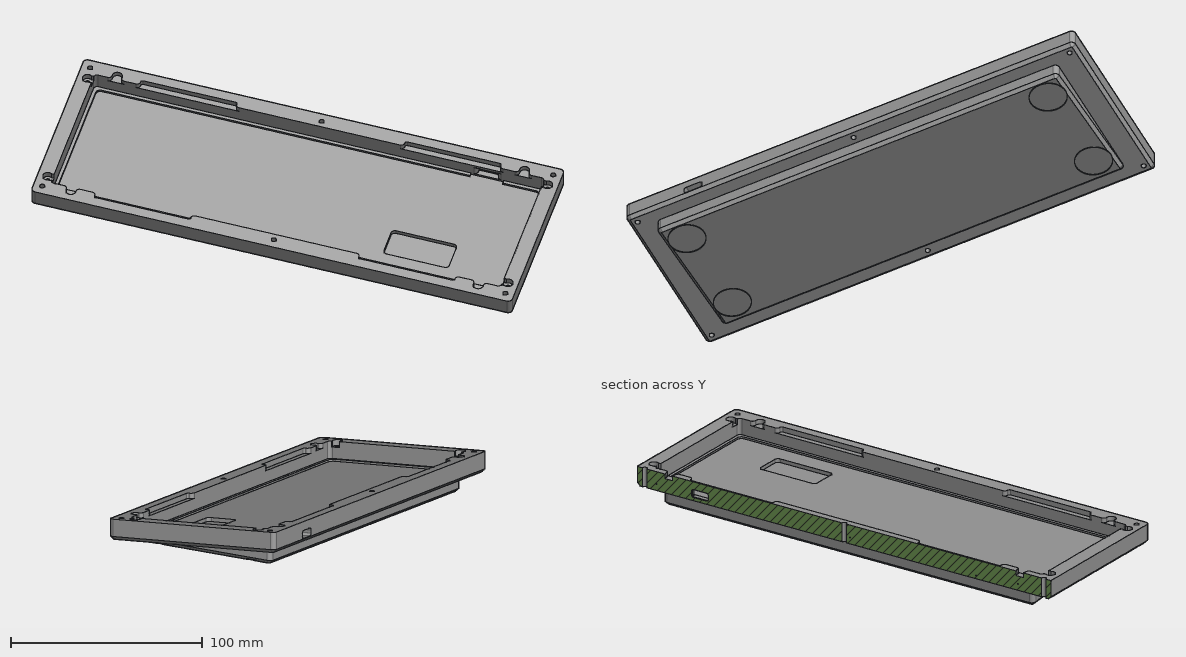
import cadquery as cq
import math

tray_length = 262
tray_width = 95.3
tray_height = 11.0
overall_height = 19.6
corner_radius = 2.4
edge_chamfer = 1.8

foot_chamfer = 1.8
foot_half_length = 117.0
foot_back_y = 39.0
foot_front_y = -39.0
foot_front_depth = 13

pad_diameter = 20.0
pad_recess_depth = 0.5
pad_x = 105.5
pad_front_y = -25.7
pad_back_y = 26.7

cavity_length = 245.5
cavity_width = 78.0
cavity_corner_radius = 1.8
ledge_depth = 9.2
ledge_width = 1.8
floor_depth = 10.2
floor_corner_radius = 2.5

window_x_min = 54.5
window_x_max = 90.0
window_y_min = -26.5
window_y_max = -9.7
window_depth = 2.0
window_corner_radius = 2.0

recess_corner_radius = 1.0
mouth_radius = 1.8

side_pocket_inner_x = 45.8
side_pocket_outer_x = 98.2
side_pocket_reach = 3.1
side_pocket_depth = 3.0

notch_x = 111.0
notch_diameter = 5.2
notch_center_y = 41.5
notch_depth = 2.5

seat_x = 125.5
seat_y = 35.4
seat_diameter = 5.2
seat_depth = 3.1
seat_mouth_width = 4.5
seat_hole_diameter = 2.07
seat_hole_depth = 6.5

rim_hole_diameter = 2.5
rim_hole_x = 126.2
rim_hole_y = 42.7

port_x_min = 86.0
port_x_max = 97
port_reach = side_pocket_reach
port_top_z = -4.5
port_floor_z = -ledge_depth
ledge_gap_length = 17.8
plug_hole_width = 10.5
plug_hole_height = 4.2
plug_hole_corner_radius = 1.3

cavity_edge_y = cavity_width / 2
cavity_edge_x = cavity_length / 2
port_center_x = (port_x_min + port_x_max) / 2
slope = (overall_height - foot_front_depth) / (foot_back_y - foot_chamfer - foot_front_y)
foot_back_depth = overall_height + slope * foot_chamfer
slope_angle = math.degrees(math.atan(slope))


def make_tray():
    block = cq.Workplane("XY").box(tray_length, tray_width, tray_height, centered=(True, True, False))
    block = block.translate((0, 0, -tray_height)).edges("|Z").fillet(corner_radius)
    return block.faces("<Z").edges().chamfer(edge_chamfer)


def make_foot():
    profile = [
        (foot_front_y, -ledge_depth),
        (foot_back_y, -ledge_depth),
        (foot_back_y, -foot_back_depth),
        (foot_front_y, -foot_front_depth),
    ]
    foot = cq.Workplane("YZ").polyline(profile).close().extrude(foot_half_length, both=True)
    foot = foot.edges("|Z").fillet(corner_radius)
    return foot.faces("<Z").edges().chamfer(foot_chamfer)


def sunk_box(length, width, depth, radius):
    box = cq.Workplane("XY").box(length, width, depth, centered=(True, True, False))
    return box.translate((0, 0, -depth)).edges("|Z").fillet(radius)


def wall_recess(x_min, x_max, reach, z_top, z_bottom):
    """Cut into the back wall with rounded inner corners and a rounded flare at its mouth."""
    wall_y = cavity_edge_y
    end_y = wall_y + reach
    outer = recess_corner_radius
    return (
        cq.Workplane("XY")
        .workplane(offset=z_bottom)
        .moveTo(x_min - mouth_radius, wall_y - ledge_width)
        .lineTo(x_min - mouth_radius, wall_y)
        .radiusArc((x_min, wall_y + mouth_radius), -mouth_radius)
        .lineTo(x_min, end_y - outer)
        .radiusArc((x_min + outer, end_y), outer)
        .lineTo(x_max - outer, end_y)
        .radiusArc((x_max, end_y - outer), outer)
        .lineTo(x_max, wall_y + mouth_radius)
        .radiusArc((x_max + mouth_radius, wall_y), -mouth_radius)
        .lineTo(x_max + mouth_radius, wall_y - ledge_width)
        .close()
        .extrude(z_top - z_bottom)
    )


def in_all_quadrants(solid):
    """Copies of a solid mirrored about the XZ and YZ planes."""
    pair = solid.union(solid.mirror("YZ"))
    return pair.union(pair.mirror("XZ"))


def make_notch():
    radius = notch_diameter / 2
    left = notch_x - radius
    right = notch_x + radius
    neck_y = cavity_edge_y + mouth_radius
    outline = (
        cq.Workplane("XY")
        .moveTo(left - mouth_radius, cavity_edge_y)
        .radiusArc((left, neck_y), -mouth_radius)
        .lineTo(left, notch_center_y)
        .threePointArc((notch_x, notch_center_y + radius), (right, notch_center_y))
        .lineTo(right, neck_y)
        .radiusArc((right + mouth_radius, cavity_edge_y), -mouth_radius)
        .close()
    )
    return outline.extrude(-notch_depth)


def make_seat():
    seat = cq.Workplane("XY").center(seat_x, seat_y).circle(seat_diameter / 2).extrude(-seat_depth)
    hole = cq.Workplane("XY").center(seat_x, seat_y).circle(seat_hole_diameter / 2).extrude(-seat_hole_depth)
    mouth_length = seat_x - cavity_edge_x
    mouth = cq.Workplane("XY").box(mouth_length, seat_mouth_width, seat_depth)
    mouth = mouth.translate((seat_x - mouth_length / 2, seat_y, -seat_depth / 2))
    return seat.union(hole).union(mouth)


def make_plug_hole():
    """Rounded slot running from the connector recess out through the back of the tray."""
    hole_length = tray_width / 2 - cavity_edge_y
    hole = cq.Workplane("XY").box(plug_hole_width, hole_length, plug_hole_height)
    hole = hole.edges("|Y").fillet(plug_hole_corner_radius)
    return hole.translate((port_center_x, cavity_edge_y + hole_length / 2, (port_top_z + port_floor_z) / 2))


def make_ledge_gap():
    gap_height = floor_depth - ledge_depth
    gap = cq.Workplane("XY").box(ledge_gap_length, 2 * ledge_width, gap_height)
    return gap.translate((port_center_x, cavity_edge_y - ledge_width, gap_height / 2 - floor_depth))


def make_pad_recesses():
    recesses = cq.Workplane("XY")
    for y in (pad_front_y, pad_back_y):
        underside_z = -foot_front_depth - slope * (y - foot_front_y)
        for x in (-pad_x, pad_x):
            disc = cq.Workplane("XY").circle(pad_diameter / 2).extrude(pad_recess_depth, both=True)
            disc = disc.rotate((0, 0, 0), (1, 0, 0), -slope_angle).translate((x, y, underside_z))
            recesses = recesses.union(disc)
    return recesses


def make_rim_holes():
    points = [(x, y) for x in (-rim_hole_x, 0, rim_hole_x) for y in (-rim_hole_y, rim_hole_y)]
    return cq.Workplane("XY").pushPoints(points).circle(rim_hole_diameter / 2).extrude(-tray_height)


body = make_tray().union(make_foot())

body = body.cut(sunk_box(cavity_length, cavity_width, ledge_depth, cavity_corner_radius))
floor_length = cavity_length - 2 * ledge_width
floor_width = cavity_width - 2 * ledge_width
body = body.cut(sunk_box(floor_length, floor_width, floor_depth, floor_corner_radius))
window = sunk_box(
    window_x_max - window_x_min, window_y_max - window_y_min, floor_depth + window_depth, window_corner_radius
)
window_center = ((window_x_min + window_x_max) / 2, (window_y_min + window_y_max) / 2, 0)
body = body.cut(window.translate(window_center))

side_pocket = wall_recess(side_pocket_inner_x, side_pocket_outer_x, side_pocket_reach, 0, -side_pocket_depth)
for feature in (side_pocket, make_notch(), make_seat()):
    body = body.cut(in_all_quadrants(feature))
body = body.cut(make_rim_holes())

port = wall_recess(port_x_min, port_x_max, port_reach, port_top_z, port_floor_z)
body = body.cut(port).cut(make_plug_hole()).cut(make_ledge_gap())

result = body.cut(make_pad_recesses())